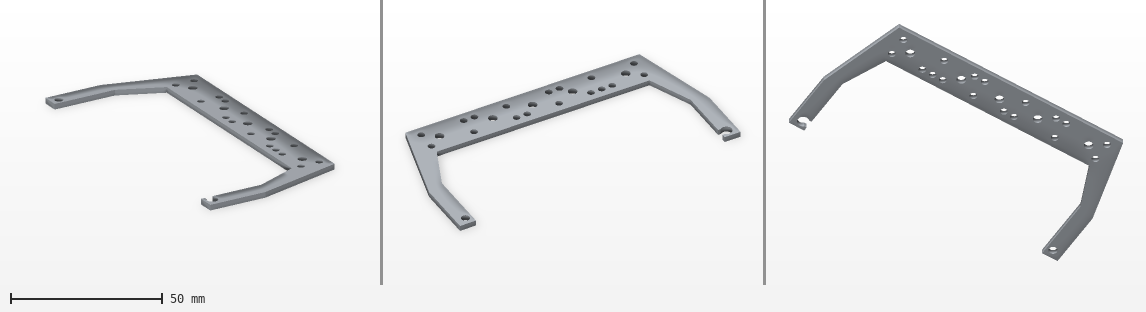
import cadquery as cq

width = 105.5
depth = 53.0
thickness = 2.0

bar_depth = 14.0
bar_back_width = 88.0
bar_front_width = 80.0
arm_width = 6.0
outer_bend_y = 21.1
inner_bend_y = 23.1

small_hole_diameter = 2.5
large_hole_diameter = 3.2
row_spacing = 7.0
grid_step = bar_front_width / 20
back_row_steps = [0, 4, 5, 8, 12, 13, 16, 20]
front_row_steps = [0, 4, 8, 9, 12, 15, 16, 17, 20]
large_hole_xs = [-35.0, -15.0, 0, 15.0, 35.0]

pivot_inset = 3.7
pivot_y = 3.0
pivot_diameter = 3.0
hook_diameter = 4.0
hook_mouth = 3.0

half_width = width / 2
inner_half_width = half_width - arm_width
bar_center_y = depth - bar_depth / 2
pivot_x = half_width - pivot_inset


def make_frame():
    right_side = [
        (bar_back_width / 2, depth),
        (half_width, outer_bend_y),
        (half_width, 0),
        (inner_half_width, 0),
        (inner_half_width, inner_bend_y),
        (bar_front_width / 2, depth - bar_depth),
    ]
    left_side = [(-x, y) for x, y in reversed(right_side)]
    return cq.Workplane("XY").polyline(right_side + left_side).close().extrude(thickness)


def make_pins(points, diameter):
    return cq.Workplane("XY").pushPoints(points).circle(diameter / 2).extrude(thickness)


def row_points(steps, y):
    return [(step * grid_step - bar_front_width / 2, y) for step in steps]


def make_hook_opening():
    mouth_length = pivot_x - inner_half_width
    mouth = (
        cq.Workplane("XY")
        .center(pivot_x - mouth_length / 2, pivot_y)
        .rect(mouth_length, hook_mouth)
        .extrude(thickness)
    )
    return make_pins([(pivot_x, pivot_y)], hook_diameter).union(mouth)


small_points = row_points(back_row_steps, bar_center_y + row_spacing / 2)
small_points += row_points(front_row_steps, bar_center_y - row_spacing / 2)
large_points = [(x, bar_center_y) for x in large_hole_xs]

result = (
    make_frame()
    .cut(make_pins(small_points, small_hole_diameter))
    .cut(make_pins(large_points, large_hole_diameter))
    .cut(make_pins([(-pivot_x, pivot_y)], pivot_diameter))
    .cut(make_hook_opening())
)